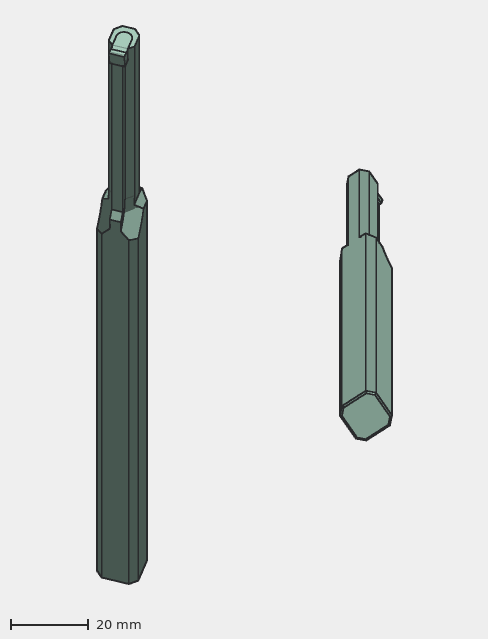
import cadquery as cq

total_length = 200.0
shank_width = 11.2
shank_chamfer = 1.9
end_chamfer = 0.5

neck_start = 140.0
neck_width = 7.0
rib_width = 3.0
neck_chamfer = 1.8
rib_front = -4.0
slope_back = -0.3
slope_drop = 1.8

shoulder_drop = 2.2

runout_start = 143.3
runout_axis_y = -15.0

insert_width = 4.2
insert_height = 4.5
insert_back_round = 3.8
cutting_edge = -4.6
groove_back = -1.5
groove_front = -4.0
groove_depth = 0.3

half_shank = shank_width / 2
half_neck = neck_width / 2
half_rib = rib_width / 2
half_insert = insert_width / 2
slope_front = slope_back - slope_drop
slope_ratio = slope_drop / (half_neck - half_rib)
insert_bottom = total_length - insert_height


def make_shank():
    """Square bar with chamfered long edges and a chamfered bottom end."""
    bar = cq.Workplane("XY").rect(shank_width, shank_width).extrude(neck_start)
    return bar.edges("|Z").chamfer(shank_chamfer).faces("<Z").chamfer(end_chamfer)


def make_neck():
    """Bar with two chamfered corners, from the shoulder to the tip."""
    section = (
        cq.Workplane("XY", origin=(0, 0, neck_start))
        .moveTo(0, half_shank)
        .lineTo(half_neck - neck_chamfer, half_shank)
        .lineTo(half_neck, half_shank - neck_chamfer)
        .lineTo(half_neck, rib_front)
        .lineTo(0, rib_front)
        .mirrorY()
    )
    return section.extrude(total_length - neck_start)


def make_side_bevel():
    """Wedge that bevels the +X shoulder of the shank down from the neck."""
    return (
        cq.Workplane("XZ")
        .moveTo(half_neck, neck_start)
        .lineTo(half_shank, neck_start - shoulder_drop)
        .lineTo(half_shank, neck_start)
        .close()
        .extrude(half_shank, both=True)
    )


def make_front_bevel():
    """Wedge that bevels the -Y shoulder of the shank down from the rib."""
    return (
        cq.Workplane("YZ")
        .moveTo(rib_front, neck_start)
        .lineTo(-half_shank, neck_start - shoulder_drop)
        .lineTo(-half_shank, neck_start)
        .close()
        .extrude(half_shank, both=True)
    )


def groove_profile():
    """Section of the groove on the +X side of the rib, with a sloping floor."""
    return (
        cq.Workplane("XY", origin=(0, 0, runout_start))
        .moveTo(half_rib, slope_front)
        .lineTo(half_shank, slope_front + slope_ratio * (half_shank - half_rib))
        .lineTo(half_shank, runout_axis_y)
        .lineTo(half_rib, runout_axis_y)
        .close()
    )


def make_side_groove():
    """Cutter for the +X groove: straight along the neck, then curving out through the shank."""
    straight = groove_profile().extrude(total_length - runout_start)
    runout = groove_profile().revolve(90, (2, runout_axis_y, 0), (0, runout_axis_y, 0))
    return straight.union(runout)


def rounded_block(front):
    """Block of the insert's width and height with a round back, reaching forward to Y = front."""
    arc_centre = insert_back_round - half_insert
    return (
        cq.Workplane("XY", origin=(0, 0, insert_bottom))
        .moveTo(-half_insert, front)
        .lineTo(half_insert, front)
        .lineTo(half_insert, arc_centre)
        .threePointArc((0, insert_back_round), (-half_insert, arc_centre))
        .close()
        .extrude(insert_height)
    )


def make_insert():
    """Block with a round back, a front relieved below its edge and a shallow V groove on top."""
    body = rounded_block(rib_front)
    nose = (
        cq.Workplane("YZ")
        .moveTo(rib_front, insert_bottom)
        .lineTo(cutting_edge, total_length)
        .lineTo(rib_front, total_length)
        .close()
        .extrude(half_insert, both=True)
    )
    groove = (
        cq.Workplane("YZ")
        .moveTo(groove_front, total_length)
        .lineTo((groove_front + groove_back) / 2, total_length - groove_depth)
        .lineTo(groove_back, total_length)
        .close()
        .extrude(half_insert, both=True)
    )
    return body.union(nose).cut(groove)


def make_insert_seat():
    """Space for the insert, open at the tip and at the front of the rib."""
    return rounded_block(-half_shank)


def make_holder():
    """Shank and neck in one piece, with the grooves, shoulder bevels and insert seat cut."""
    shank = make_shank().cut(make_front_bevel())
    side_bevel = make_side_bevel()
    shank = shank.cut(side_bevel).cut(side_bevel.mirror("YZ"))
    side_groove = make_side_groove()
    blank = shank.union(make_neck())
    blank = blank.cut(side_groove).cut(side_groove.mirror("YZ"))
    return blank.cut(make_insert_seat())


holder = make_holder().solids()
insert = make_insert().solids()

result = cq.Compound.makeCompound([holder.val(), insert.val()])